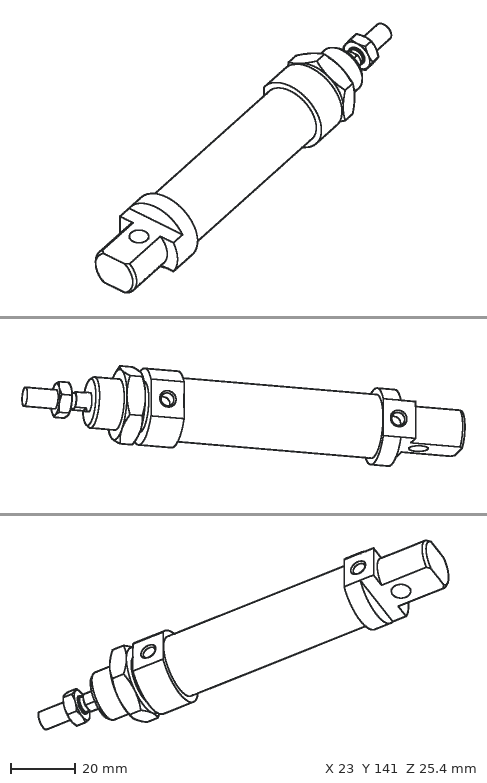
import cadquery as cq
import math


eye_length = 17.0
rear_cap_length = 10.5
rear_disk_length = 5.75
tube_length = 64.75
front_cap_length = 10.75
nose_length = 17.0
rod_length = 21.0
rod_thread_length = 14.5
rod_neck_length = 1.5

rear_cap_start = eye_length
rear_disk_start = rear_cap_start + rear_cap_length - rear_disk_length
tube_start = rear_cap_start + rear_cap_length
front_cap_start = tube_start + tube_length
nose_start = front_cap_start + front_cap_length
nose_end = nose_start + nose_length
rod_end = nose_end + rod_length
rod_neck_end = rod_end - rod_thread_length
rod_neck_start = rod_neck_end - rod_neck_length

tube_diameter = 20.0
cap_diameter = 24.0
mount_diameter = 16.0
mount_tip_diameter = 14.5
mount_chamfer_length = 1.0
eye_thickness = 12.0
port_flat_width = 12.0
port_flat_x = -math.sqrt((cap_diameter / 2) ** 2 - (port_flat_width / 2) ** 2)
pivot_diameter = 6.0
pivot_y = 13.0

port_diameter = 4.2
port_mouth_diameter = 5.3
port_depth = 5.0
port_inset = 5.5
port_chamfer = (port_mouth_diameter - port_diameter) / 2

rod_diameter = 6.0
rod_neck_diameter = 5.0
wrench_flat_width = 5.0
wrench_flat_length = 3.5
wrench_ramp = (rod_diameter - wrench_flat_width) / 2

mount_nut_across_flats = 22.0
mount_nut_thickness = 6.0
mount_nut_gap = 2.0
mount_nut_start = nose_start + mount_nut_gap
rod_nut_across_flats = 10.0
rod_nut_thickness = 4.0
rod_nut_gap = 0.5
rod_nut_start = rod_neck_end + rod_nut_gap
nut_chamfer_angle = math.radians(30)
half_hex_turn = 30


def cylinder(diameter, start, length):
    """Cylinder on the Y axis from start to start + length."""
    return cq.Workplane("XZ", origin=(0, start, 0)).circle(diameter / 2).extrude(-length)


def revolve_about_axis(points):
    """Solid of revolution about Y from (radius, y) points."""
    return cq.Workplane("XY").polyline(points).close().revolve(360, (0, 0), (0, 1))


def make_port(y):
    """Cutter for a blind port with a chamfered mouth, going inward from the cap flat."""
    bore = cq.Workplane("YZ", origin=(port_flat_x, y, 0)).circle(port_diameter / 2).extrude(port_depth)
    mouth = (
        cq.Workplane("YZ", origin=(port_flat_x, y, 0))
        .circle(port_mouth_diameter / 2)
        .workplane(offset=port_chamfer)
        .circle(port_diameter / 2)
        .loft(ruled=True)
    )
    return bore.union(mouth)


def make_port_flat(start, length):
    """Cutter that leaves the port flat on the -X side of a cap."""
    depth = cap_diameter / 2 + port_flat_x
    cutter = cq.Workplane("XY").box(depth, length, cap_diameter, centered=(False, False, True))
    return cutter.translate((-cap_diameter / 2, start, 0))


def make_housing():
    """End caps, tube, threaded nose and rear eye."""
    mount_radius = mount_diameter / 2
    tip_radius = mount_tip_diameter / 2
    cap_radius = cap_diameter / 2
    tube_radius = tube_diameter / 2
    housing = revolve_about_axis([
        (0, 0),
        (tip_radius, 0),
        (mount_radius, mount_chamfer_length),
        (mount_radius, rear_cap_start),
        (cap_radius, rear_cap_start),
        (cap_radius, tube_start),
        (tube_radius, tube_start),
        (tube_radius, front_cap_start),
        (cap_radius, front_cap_start),
        (cap_radius, nose_start),
        (mount_radius, nose_start),
        (mount_radius, nose_end - mount_chamfer_length),
        (tip_radius, nose_end),
        (0, nose_end),
    ])

    for side in (1, -1):
        flat_cutter = cq.Workplane("XY").box(
            cap_diameter, rear_disk_start, cap_diameter, centered=(True, False, True)
        )
        housing = housing.cut(flat_cutter.translate((0, 0, side * (eye_thickness + cap_diameter) / 2)))

    pivot = cq.Workplane("XY").center(0, pivot_y).circle(pivot_diameter / 2).extrude(eye_thickness, both=True)
    housing = housing.cut(pivot)

    for start, length, port_y in (
        (rear_cap_start, rear_cap_length, rear_cap_start + port_inset),
        (front_cap_start, front_cap_length, nose_start - port_inset),
    ):
        housing = housing.cut(make_port_flat(start, length))
        housing = housing.cut(make_port(port_y))
    return housing


def make_rod():
    """Rod with two wrench flats, a thread relief neck and a threaded tip."""
    rod = cylinder(rod_diameter, nose_end, rod_length)
    neck = cylinder(rod_neck_diameter, rod_neck_start, rod_neck_length)
    neck_ring = cylinder(rod_diameter, rod_neck_start, rod_neck_length).cut(neck)
    rod = rod.cut(neck_ring)

    flat_end = rod_neck_start - wrench_flat_length
    flat_cutter = (
        cq.Workplane("YZ")
        .polyline([
            (rod_neck_start, wrench_flat_width / 2),
            (flat_end, wrench_flat_width / 2),
            (flat_end - wrench_ramp, rod_diameter / 2),
            (rod_neck_start, rod_diameter / 2),
        ])
        .close()
        .extrude(rod_diameter, both=True)
    )
    return rod.cut(flat_cutter).cut(flat_cutter.mirror("XY"))


def make_nut(across_flats, thickness, bore_diameter, start, turn):
    """Hexagon nut with both ends chamfered; turn = 0 puts two corners on the X axis."""
    corner_diameter = across_flats / math.cos(math.pi / 6)
    corner_radius = corner_diameter / 2
    flat_radius = across_flats / 2
    chamfer = (corner_radius - flat_radius) * math.tan(nut_chamfer_angle)
    end = start + thickness
    hexagon = (
        cq.Workplane("XZ", origin=(0, start, 0))
        .polygon(6, corner_diameter)
        .extrude(-thickness)
        .rotate((0, 0, 0), (0, 1, 0), turn)
    )
    envelope = revolve_about_axis([
        (0, start),
        (flat_radius, start),
        (corner_radius, start + chamfer),
        (corner_radius, end - chamfer),
        (flat_radius, end),
        (0, end),
    ])
    return hexagon.intersect(envelope).cut(cylinder(bore_diameter, start, thickness))


housing = make_housing()
rod = make_rod()
mount_nut = make_nut(mount_nut_across_flats, mount_nut_thickness, mount_diameter, mount_nut_start, half_hex_turn)
rod_nut = make_nut(rod_nut_across_flats, rod_nut_thickness, rod_diameter, rod_nut_start, 0)

result = cq.Compound.makeCompound([housing.val(), rod.val(), mount_nut.val(), rod_nut.val()])